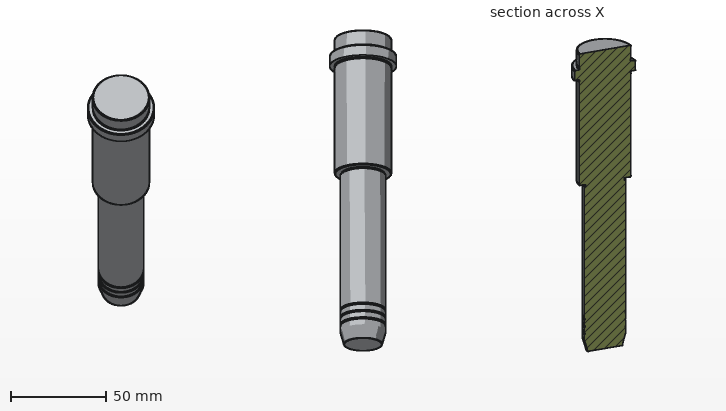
import cadquery as cq

total_height = 170.0
collar_top = 161.0
collar_height = 6.0
collar_bottom = collar_top - collar_height
body_bottom = 95.0
tip_height = 7.0

collar_radius = 17.5
body_radius = 15.0
shaft_radius = 11.98
tip_radius = 10.0

edge_chamfer = 0.5
tip_chamfer = 0.25
shaft_relief_width = 1.0
shaft_relief_depth = 0.7
groove_width = 1.0
groove_depth = 0.3

groove_count = 3
groove_pitch = 4.0
lowest_groove_center = 10.5


def cylinder(radius, bottom, top):
    """Solid cylinder about Z between two heights."""
    return cq.Workplane("XY").workplane(offset=bottom).circle(radius).extrude(top - bottom)


def square_groove(radius, depth, bottom, top):
    """Ring that cuts a square groove into a cylinder of the given radius."""
    return cylinder(radius + depth, bottom, top).cut(cylinder(radius - depth, bottom, top))


def beveled_groove(radius, bottom):
    """Ring that cuts a flat-bottomed groove with 45 degree walls into a cylinder."""
    top = bottom + groove_width
    floor_radius = radius - groove_depth
    profile = cq.Workplane("XZ").polyline(
        [
            (radius, bottom),
            (floor_radius, bottom + groove_depth),
            (floor_radius, top - groove_depth),
            (radius, top),
        ]
    )
    return profile.close().revolve(360, (0, 0), (0, 1))


def make_tip():
    """Conical lead-in narrowing from the shaft to the tip."""
    profile = cq.Workplane("XZ").polyline(
        [(0, 0), (tip_radius, 0), (shaft_radius, tip_height), (0, tip_height)]
    )
    return profile.close().revolve(360, (0, 0), (0, 1)).faces("<Z").chamfer(tip_chamfer)


def make_collar():
    return cylinder(collar_radius, collar_bottom, collar_top).faces(">Z").chamfer(edge_chamfer)


body = cylinder(body_radius, body_bottom, total_height).edges().chamfer(edge_chamfer)
for neck_bottom in (collar_top, collar_bottom - groove_width):
    body = body.cut(beveled_groove(body_radius, neck_bottom))

shaft = cylinder(shaft_radius, tip_height, body_bottom)
relief_bottom = body_bottom - shaft_relief_width
shaft = shaft.cut(square_groove(shaft_radius, shaft_relief_depth, relief_bottom, body_bottom))
for index in range(groove_count):
    groove_bottom = lowest_groove_center + index * groove_pitch - groove_width / 2
    shaft = shaft.cut(beveled_groove(shaft_radius, groove_bottom))

result = body.union(make_collar()).union(shaft).union(make_tip())